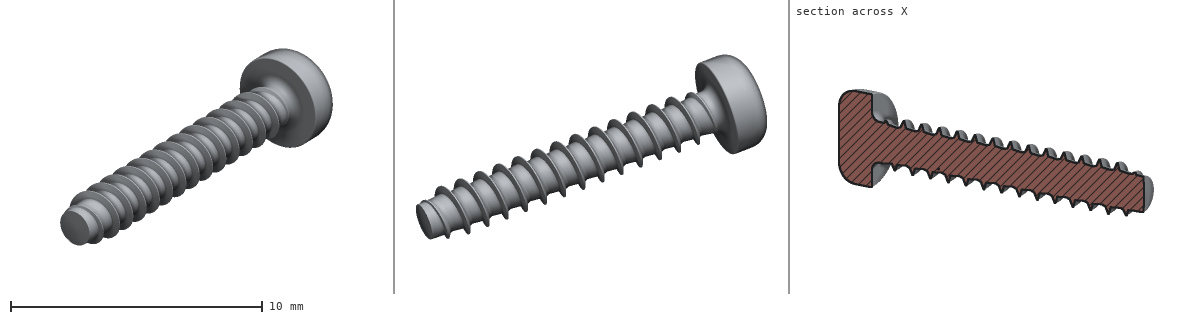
import cadquery as cq
import math


head_radius = 3.9 / 2
head_height = 1.6
head_dome_radius = 0.8
head_rim_fillet = 0.05

shank_length = 13.0
core_radius = 0.765
neck_radius = 0.86
neck_fillet = 0.35
neck_end_depth = 0.54
neck_taper_end_depth = 1.1
tip_radius = 0.745
tip_taper_length = 0.25
tip_cone_height = 0.03

pitch = 0.85
crest_radius = 1.105
crest_width = 0.045
knee_radius = 0.82
root_radius = 0.76
foot_radius = 0.81
buried_radius = 0.70
root_to_crest = 0.31
knee_to_crest = 0.16
crest_to_foot = 0.11
land_length = 0.42
land_end_radius = 0.763

full_thread_depth = 1.30
lead_in_turns = 1.25
full_turns = 12.5
lead_out_turns = 1.2
lead_in_crest_radius = 0.87
lead_in_knee_radius = 0.74
lead_out_radius = 0.72
lead_out_land_length = 0.02
lead_out_foot_offset = 0.03


def make_body():
    """Head, neck and core, revolved about the Y axis."""
    arc_midpoint = math.sqrt(0.5)
    seat_radius = neck_radius + neck_fillet
    taper_start_depth = shank_length - tip_cone_height - tip_taper_length
    dome_center_radius = head_radius - head_dome_radius
    dome_center_y = head_height - head_dome_radius
    outline = (
        cq.Workplane("ZY")
        .moveTo(0, head_height)
        .lineTo(dome_center_radius, head_height)
        .threePointArc(
            (
                dome_center_radius + head_dome_radius * arc_midpoint,
                dome_center_y + head_dome_radius * arc_midpoint,
            ),
            (head_radius, dome_center_y),
        )
        .lineTo(head_radius, head_rim_fillet)
        .threePointArc(
            (
                head_radius - head_rim_fillet * (1 - arc_midpoint),
                head_rim_fillet * (1 - arc_midpoint),
            ),
            (head_radius - head_rim_fillet, 0),
        )
        .lineTo(seat_radius, 0)
        .threePointArc(
            (seat_radius - neck_fillet * arc_midpoint, -neck_fillet * (1 - arc_midpoint)),
            (neck_radius, -neck_fillet),
        )
        .lineTo(neck_radius, -neck_end_depth)
        .lineTo(core_radius, -neck_taper_end_depth)
        .lineTo(core_radius, -taper_start_depth)
        .lineTo(tip_radius, -(shank_length - tip_cone_height))
        .lineTo(0, -shank_length)
        .close()
    )
    return outline.revolve(360, (0, 0, 0), (0, 1, 0))


def rib_section(crest, knee, foot, land_end, foot_offset=crest_to_foot, land=land_length):
    """Corners of the rib cross-section as (radius, axial offset from the crest centre)."""
    half_crest = crest_width / 2
    return [
        (buried_radius, -root_to_crest),
        (min(root_radius, knee), -root_to_crest),
        (knee, -knee_to_crest),
        (crest, -half_crest),
        (crest, half_crest),
        (foot, foot_offset),
        (land_end, foot_offset + land),
        (buried_radius, foot_offset + land),
    ]


def helix_rail(start, end, first_turn, turns):
    """Helix from one section corner to the matching corner a number of turns later."""
    start_radius, start_offset = start
    end_radius, end_offset = end
    rise = turns * pitch + end_offset - start_offset
    growth = end_radius - start_radius
    if start_radius == end_radius:
        rail = cq.Wire.makeHelix(rise / turns, rise, start_radius)
    else:
        slant = math.hypot(rise, growth)
        cone_angle = math.degrees(math.atan2(growth, rise))
        rail = cq.Wire.makeHelix(slant / turns, slant, start_radius, angle=cone_angle)
    rail = rail.rotate(cq.Vector(0, 0, 0), cq.Vector(0, 0, 1), 360 * first_turn)
    rail = rail.translate(cq.Vector(0, 0, full_thread_depth + first_turn * pitch + start_offset))
    return rail.Edges()[0]


def make_thread():
    """Helical rib that grows out of the neck and sinks into the core at the tip."""
    full = rib_section(crest_radius, knee_radius, foot_radius, land_end_radius)
    lead_in = rib_section(lead_in_crest_radius, lead_in_knee_radius, foot_radius, land_end_radius)
    sunk = lead_out_radius
    lead_out = rib_section(sunk, sunk, sunk, sunk, lead_out_foot_offset, lead_out_land_length)
    stretches = [
        (lead_in, full, -lead_in_turns, lead_in_turns),
        (full, full, 0, full_turns),
        (full, lead_out, full_turns, lead_out_turns),
    ]
    faces = []
    stretch_rails = []
    for start_section, end_section, first_turn, turns in stretches:
        rails = [helix_rail(a, b, first_turn, turns) for a, b in zip(start_section, end_section)]
        for rail, next_rail in zip(rails, rails[1:] + rails[:1]):
            faces.append(cq.Face.makeRuledSurface(rail, next_rail))
        stretch_rails.append(rails)
    first_cap = [rail.startPoint() for rail in stretch_rails[0]]
    last_cap = [rail.endPoint() for rail in stretch_rails[-1]]
    for corners in (first_cap, last_cap):
        faces.append(cq.Face.makeFromWires(cq.Wire.makePolygon(corners, close=True)))
    rib = cq.Solid.makeSolid(cq.Shell.makeShell(faces))
    return rib.rotate(cq.Vector(0, 0, 0), cq.Vector(1, 0, 0), 90)


result = make_body().union(cq.Workplane(make_thread()))